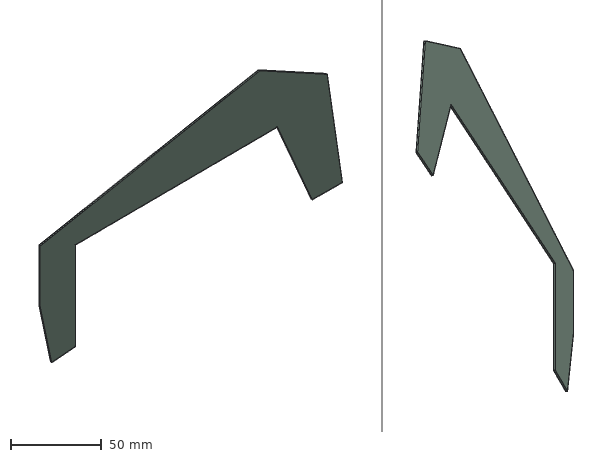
import cadquery as cq

thickness = 1.0
length = 226.7
height = 137.5

straight_foot_z = 14.0
straight_foot_outer_y = 8.6
straight_inner_y = 26.5
taper_start_z = 66.2
low_shoulder_z = 116.0
straight_crotch_z = 97.2

splayed_crotch_y = 178.0
splayed_crotch_z = 81.5
splayed_foot_inner_y = 204.0
splayed_foot_inner_z = 2.7
high_shoulder_y = 215.3
high_shoulder_z = 97.0
peak_y = 164.5

straight_leg = [
    (0, low_shoulder_z),
    (0, taper_start_z),
    (straight_foot_outer_y, straight_foot_z),
    (straight_inner_y, straight_foot_z),
    (straight_inner_y, straight_crotch_z),
]
splayed_leg = [
    (splayed_crotch_y, splayed_crotch_z),
    (splayed_foot_inner_y, splayed_foot_inner_z),
    (length, 0),
    (high_shoulder_y, high_shoulder_z),
]
peak = [(peak_y, height)]

result = cq.Workplane("YZ").polyline(straight_leg + splayed_leg + peak).close().extrude(thickness)